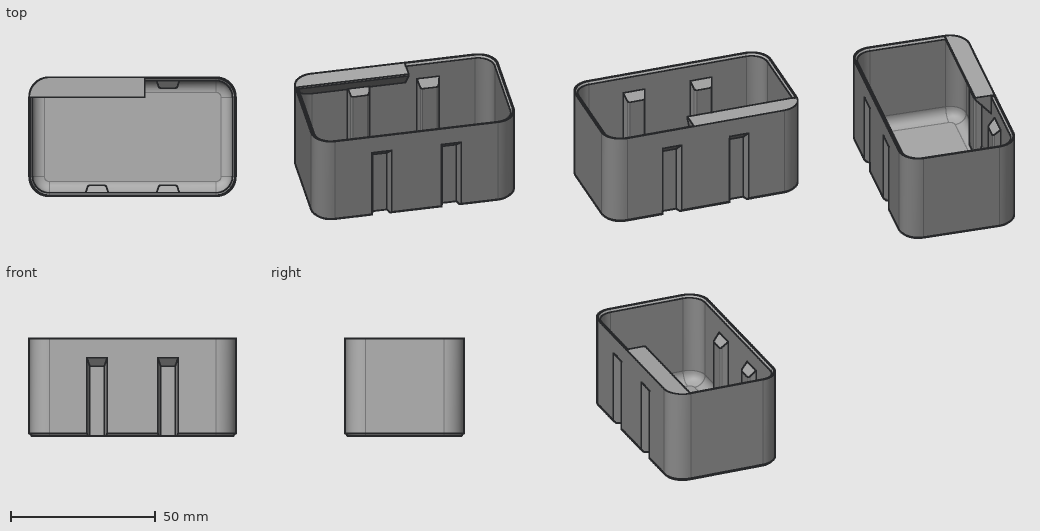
import math

import cadquery as cq

LENGTH = 71.5
WIDTH = 41.2
HEIGHT = 33.7
CORNER_RADIUS = 7.0
FOOT_CHAMFER = 1.0

WALL = 1.2
FLOOR = 1.0
FLOOR_FILLET = 4.0
RIM_WIDTH = 0.4
RIM_CHAMFER = WALL - RIM_WIDTH
RIM_FLARE_ANGLE = 45.0

SHELF_LENGTH = 40.0
SHELF_DEPTH = CORNER_RADIUS
SHELF_EDGE = 0.8
SHELF_SLOPE = 50.0

GROOVE_SPACING = 24.5
GROOVE_CENTRES = (-GROOVE_SPACING / 2, GROOVE_SPACING / 2)
GROOVE_MOUTH = 7.0
GROOVE_TAPER = 1.0
GROOVE_DEPTH = 3.0
GROOVE_TOP = 27.1
RIB_WALL = 0.8

FRONT = -WIDTH / 2
BACK = WIDTH / 2


def rounded_block(inset, bottom, top, flare=0):
    """Block following the outer wall at an inset, widening upward by the flare angle."""
    outline = (
        cq.Sketch()
        .rect(LENGTH - 2 * inset, WIDTH - 2 * inset)
        .vertices()
        .fillet(CORNER_RADIUS - inset)
    )
    return (
        cq.Workplane("XY")
        .workplane(offset=bottom)
        .placeSketch(outline)
        .extrude(top - bottom, taper=-flare)
    )


def make_shell():
    """Open box with a chamfered foot, a rounded floor edge and a flared rim."""
    block = rounded_block(0, 0, HEIGHT).faces("<Z").edges().chamfer(FOOT_CHAMFER)
    cavity = rounded_block(WALL, FLOOR, HEIGHT).faces("<Z").edges().fillet(FLOOR_FILLET)
    rim_flare = rounded_block(WALL, HEIGHT - RIM_CHAMFER, HEIGHT, RIM_FLARE_ANGLE)
    return block.cut(cavity).cut(rim_flare)


def make_shelf():
    """Label shelf with a short vertical edge and an underside sloping down to the back wall."""
    shelf_front = BACK - SHELF_DEPTH
    slope_start = HEIGHT - SHELF_EDGE
    slope_end = slope_start - SHELF_DEPTH * math.tan(math.radians(SHELF_SLOPE))
    profile = [
        (shelf_front, HEIGHT),
        (shelf_front, slope_start),
        (BACK, slope_end),
        (BACK, HEIGHT),
    ]
    bar = (
        cq.Workplane("YZ")
        .workplane(offset=-LENGTH / 2)
        .polyline(profile)
        .close()
        .extrude(SHELF_LENGTH)
    )
    return bar.intersect(rounded_block(0, 0, HEIGHT))


def groove_prism(x, growth):
    """Full-height groove shape at the front wall, grown evenly outward with round corners.

    Its sides run on in front of the wall by one groove depth at the same taper.
    """
    mouth = GROOVE_MOUTH / 2
    root = mouth - GROOVE_TAPER
    outer = mouth + GROOVE_TAPER
    plan = (
        cq.Workplane("XY")
        .polyline([
            (x - outer, FRONT - GROOVE_DEPTH),
            (x - root, FRONT + GROOVE_DEPTH),
            (x + root, FRONT + GROOVE_DEPTH),
            (x + outer, FRONT - GROOVE_DEPTH),
        ])
        .close()
    )
    if growth > 0:
        plan = plan.offset2D(growth, "arc")
    return plan.extrude(HEIGHT)


def groove_body(x, growth):
    """Groove shape behind the front face, closed by a roof falling inward at 45 degrees."""
    reach = GROOVE_DEPTH + growth
    top = GROOVE_TOP + growth * math.sqrt(2)
    profile = [
        (FRONT, 0),
        (FRONT, top),
        (FRONT + reach, top - reach),
        (FRONT + reach, 0),
    ]
    roofed = (
        cq.Workplane("YZ")
        .workplane(offset=x - GROOVE_MOUTH)
        .polyline(profile)
        .close()
        .extrude(2 * GROOVE_MOUTH)
    )
    return groove_prism(x, growth).intersect(roofed)


def on_both_long_walls(body):
    return body.union(body.mirror("XZ"))


result = make_shell().union(make_shelf())

rib_zone = rounded_block(WALL / 2, FLOOR / 2, HEIGHT)
for centre in GROOVE_CENTRES:
    rib = groove_body(centre, RIB_WALL).intersect(rib_zone)
    result = result.union(on_both_long_walls(rib))

for centre in GROOVE_CENTRES:
    groove = groove_body(centre, 0)
    result = result.cut(on_both_long_walls(groove))